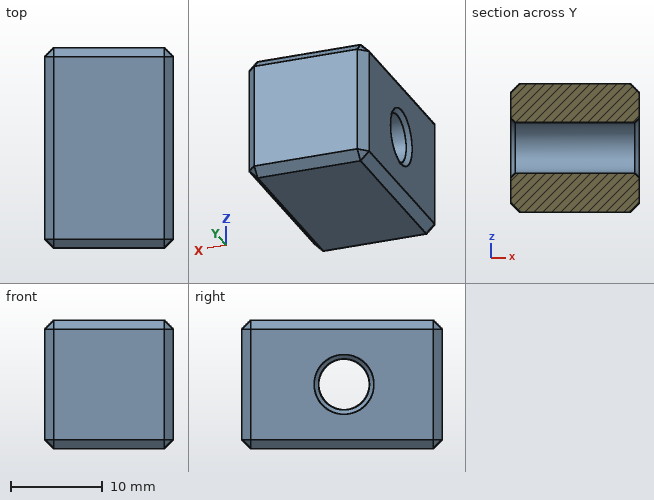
import cadquery as cq

width = 14.0
length = 21.81
height = 14.0
edge_chamfer = 1.0

hole_diameter = 5.5
hole_chamfer = 0.5
hole_offset_y = 0.22


def make_block():
    """Centred block with every outer edge chamfered."""
    return cq.Workplane("XY").box(width, length, height).edges().chamfer(edge_chamfer)


def make_hole_cutter():
    """Through hole along X, flared by a chamfer at both mouths."""
    hole_radius = hole_diameter / 2
    mouth_radius = hole_radius + hole_chamfer
    half_width = width / 2
    flare_start = half_width - hole_chamfer
    profile = [
        (-half_width, 0),
        (-half_width, mouth_radius),
        (-flare_start, hole_radius),
        (flare_start, hole_radius),
        (half_width, mouth_radius),
        (half_width, 0),
    ]
    cutter = cq.Workplane("XY").polyline(profile).close().revolve(360, (0, 0, 0), (1, 0, 0))
    return cutter.translate((0, hole_offset_y, 0))


result = make_block().cut(make_hole_cutter())